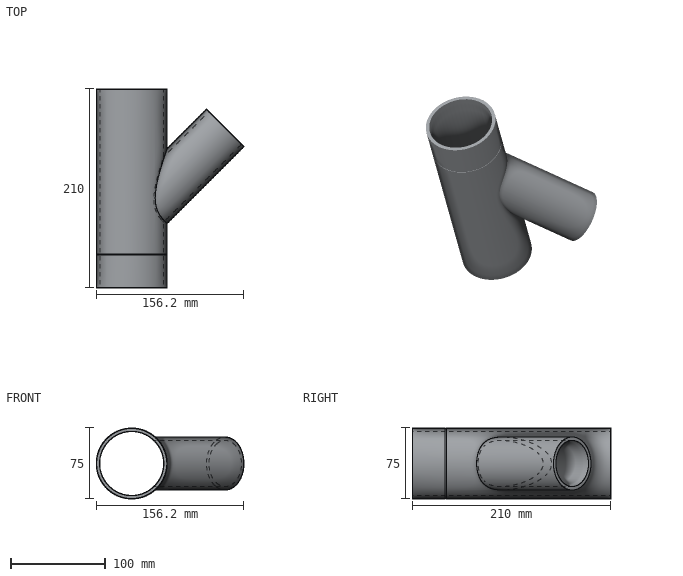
import cadquery as cq
import math

main_length = 210.0
main_diameter = 75.0
main_bore = 67.6

groove_start = 34.6
groove_width = 1.3
groove_depth = 0.5

branch_diameter = 56.0
branch_wall = (main_diameter - main_bore) / 2
branch_bore = branch_diameter - 2 * branch_wall
branch_angle = 45.0
branch_length = 139.9
branch_origin_y = 70.1


def main_cylinder(diameter, start=0.0, length=main_length):
    """Solid cylinder on the main axis, extending along +Y."""
    plane = cq.Plane(origin=(0, start, 0), xDir=(1, 0, 0), normal=(0, 1, 0))
    return cq.Workplane(plane).circle(diameter / 2).extrude(length)


def branch_cylinder(diameter):
    """Solid cylinder on the branch axis, starting at the main axis."""
    angle = math.radians(branch_angle)
    direction = (math.sin(angle), math.cos(angle), 0)
    plane = cq.Plane(origin=(0, branch_origin_y, 0), xDir=(0, 0, 1), normal=direction)
    return cq.Workplane(plane).circle(diameter / 2).extrude(branch_length)


def groove_ring():
    """Ring of material removed by the groove."""
    groove_floor = main_cylinder(main_diameter - 2 * groove_depth, groove_start, groove_width)
    return main_cylinder(main_diameter, groove_start, groove_width).cut(groove_floor)


body = main_cylinder(main_diameter).cut(groove_ring()).union(branch_cylinder(branch_diameter))
result = body.cut(main_cylinder(main_bore)).cut(branch_cylinder(branch_bore))